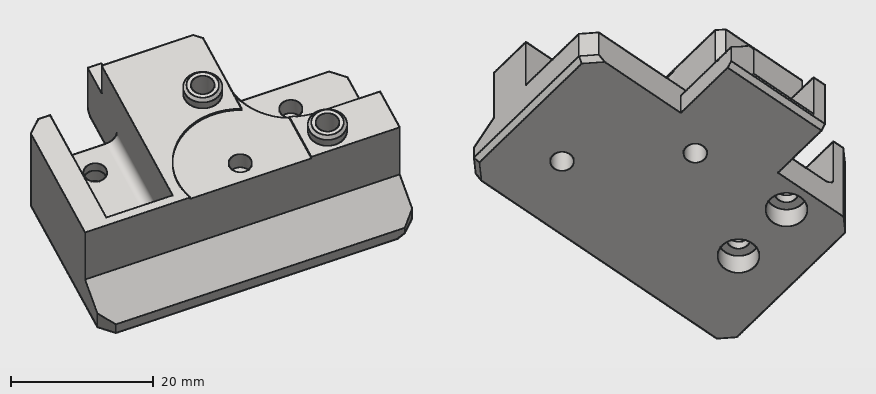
import cadquery as cq
import math

LENGTH_X = 38.0
LENGTH_Y = 48.0
TOP_Z = 16.2
CORNER = 1.95
BOTTOM_CHAMFER = 0.75

FRONT_X = 10.3
REAR_X = 11.05
ARM_FRONT_Y = 13.9
ARM_REAR_Y = 31.05

WALL_X = 31.65
FOOT_EDGE_Z = 1.95
FOOT_ANGLE = 30.0

SHELF_Z = 6.05
SHELF_FRONT_Y = 28.95
SHELF_RADIUS = 9.5

LEFT_X = 15.1
PIN_RIGHT_X = 28.2
DOWEL_RIGHT_X = 28.5
FRONT_ROW_Y = 25.0
REAR_ROW_Y = SHELF_FRONT_Y + SHELF_RADIUS
PIN_DIAMETER = 5.5
PIN_HEIGHT = 1.8
PIN_CHAMFER = 0.5
BORE_DIAMETER = 3.3
DOWEL_DIAMETER = 3.25
DOWEL_DEPTH = 3.0

RECESS_RADIUS = SHELF_RADIUS
RECESS_DEPTH = 0.35

TRAY_LENGTH = 5.0
TRAY_FLOOR_Z = 1.35
TRAY_FRONT_Y = 16.05
TRAY_REAR_Y = 27.0
TRAY_WALL_Z = 10.0
BEVEL = 1.05
FIN_EDGE_Y = SHELF_FRONT_Y - BEVEL
FIN_EDGE_Z = 7.2
ARM_SHOULDER_Z = 4.1
FIN_SLOPE = 0.44

CHANNEL_FRONT_Y = 3.8
CHANNEL_END_X = 30.35
CHANNEL_FLOOR_Z = 5.6
CHANNEL_RADIUS = 1.65
SCREW_XS = (14.5, 25.0)
SCREW_Y = 8.9
COUNTERBORE_DIAMETER = 5.85
COUNTERBORE_DEPTH = 4.0


def box(x0, x1, y0, y1, z0, z1):
    return cq.Workplane("XY").box(x1 - x0, y1 - y0, z1 - z0, centered=False).translate((x0, y0, z0))


def cylinder(x, y, z, diameter, height):
    return cq.Workplane("XY", origin=(x, y, z)).circle(diameter / 2).extrude(height)


def main_body():
    """Front and rear stretches with chamfered corners and the sloping right foot."""
    front = box(FRONT_X, LENGTH_X, 0, SHELF_FRONT_Y, 0, TOP_Z).edges("|Z and <Y").chamfer(CORNER)
    rear = box(REAR_X, LENGTH_X, ARM_FRONT_Y, LENGTH_Y, 0, TOP_Z).edges("|Z and >Y").chamfer(CORNER)
    rear = rear.faces("<Z").edges(">Y or (not (|X or |Y))").chamfer(BOTTOM_CHAMFER)
    foot_top_z = FOOT_EDGE_Z + (LENGTH_X - WALL_X) * math.tan(math.radians(FOOT_ANGLE))
    above_foot = (
        cq.Workplane("XZ")
        .polyline([(WALL_X, TOP_Z), (WALL_X, foot_top_z), (LENGTH_X, FOOT_EDGE_Z), (LENGTH_X, TOP_Z)])
        .close()
        .extrude(-LENGTH_Y)
    )
    return front.union(rear).cut(above_foot)


def shelf_space():
    """Space above the rear shelf, with a concave corner around the left dowel hole."""
    wall_x = LEFT_X + SHELF_RADIUS
    corner = SHELF_RADIUS * math.sqrt(0.5)
    return (
        cq.Workplane("XY", origin=(0, 0, SHELF_Z))
        .moveTo(0, SHELF_FRONT_Y)
        .lineTo(LEFT_X, SHELF_FRONT_Y)
        .threePointArc((LEFT_X + corner, REAR_ROW_Y - corner), (wall_x, REAR_ROW_Y))
        .lineTo(wall_x, LENGTH_Y)
        .lineTo(0, LENGTH_Y)
        .close()
        .extrude(TOP_Z - SHELF_Z)
    )


def arm():
    """Block beside the body, its tray, and the sloped fin behind the tray."""
    base = (
        cq.Workplane("YZ")
        .polyline([
            (ARM_FRONT_Y, 0),
            (ARM_REAR_Y, 0),
            (ARM_REAR_Y, ARM_SHOULDER_Z),
            (SHELF_FRONT_Y, SHELF_Z),
            (ARM_FRONT_Y, SHELF_Z),
        ])
        .close()
        .extrude(REAR_X)
    )
    front_wall = box(0, TRAY_LENGTH, ARM_FRONT_Y, TRAY_FRONT_Y, 0, TRAY_WALL_Z)

    block = (
        cq.Workplane("XY")
        .polyline([
            (TRAY_LENGTH, ARM_FRONT_Y),
            (REAR_X, ARM_FRONT_Y),
            (REAR_X, SHELF_FRONT_Y),
            (TRAY_LENGTH + BEVEL, SHELF_FRONT_Y),
            (TRAY_LENGTH, FIN_EDGE_Y),
        ])
        .close()
        .extrude(TOP_Z)
    )

    fin_profile = (
        cq.Workplane("YZ")
        .polyline([
            (TRAY_REAR_Y, TRAY_FLOOR_Z),
            (SHELF_FRONT_Y, TRAY_FLOOR_Z),
            (SHELF_FRONT_Y, SHELF_Z),
            (FIN_EDGE_Y, FIN_EDGE_Z),
            (TRAY_REAR_Y, FIN_EDGE_Z),
        ])
        .close()
        .wires()
        .val()
    )
    fin_length = TRAY_LENGTH + BEVEL
    fin = cq.Solid.extrudeLinear(fin_profile, [], cq.Vector(fin_length, 0, fin_length * FIN_SLOPE))

    tray = box(0, TRAY_LENGTH, TRAY_FRONT_Y, TRAY_REAR_Y, TRAY_FLOOR_Z, TOP_Z)
    solid = base.union(front_wall).union(block).union(cq.Workplane(fin)).cut(tray)
    return solid.faces("<Z").edges("<X").chamfer(BOTTOM_CHAMFER)


def channel():
    """Round-bottomed channel, open at the left."""
    lower = box(FRONT_X, CHANNEL_END_X, CHANNEL_FRONT_Y, ARM_FRONT_Y, CHANNEL_FLOOR_Z, TOP_Z)
    return lower.edges("|X and <Z").fillet(CHANNEL_RADIUS)


def recess():
    """Shallow recess whose straight rear edge is tangent to its round front."""
    floor_z = TOP_Z - RECESS_DEPTH
    disc = cylinder(DOWEL_RIGHT_X, FRONT_ROW_Y, floor_z, 2 * RECESS_RADIUS, RECESS_DEPTH)
    rear_y = FRONT_ROW_Y + RECESS_RADIUS
    return disc.union(box(LEFT_X, WALL_X, SHELF_FRONT_Y, rear_y, floor_z, TOP_Z))


result = main_body().cut(shelf_space()).union(arm()).cut(channel()).cut(recess())

for x, y in ((LEFT_X, FRONT_ROW_Y), (PIN_RIGHT_X, REAR_ROW_Y)):
    pin = cylinder(x, y, TOP_Z, PIN_DIAMETER, PIN_HEIGHT).faces(">Z").edges().chamfer(PIN_CHAMFER)
    result = result.union(pin).cut(cylinder(x, y, 0, BORE_DIAMETER, TOP_Z + PIN_HEIGHT))

for x, y, top_z in (
    (LEFT_X, REAR_ROW_Y, SHELF_Z),
    (DOWEL_RIGHT_X, FRONT_ROW_Y, TOP_Z - RECESS_DEPTH),
):
    result = result.cut(cylinder(x, y, top_z - DOWEL_DEPTH, DOWEL_DIAMETER, DOWEL_DEPTH))

for x in SCREW_XS:
    result = result.cut(cylinder(x, SCREW_Y, 0, BORE_DIAMETER, CHANNEL_FLOOR_Z))
    result = result.cut(cylinder(x, SCREW_Y, 0, COUNTERBORE_DIAMETER, COUNTERBORE_DEPTH))